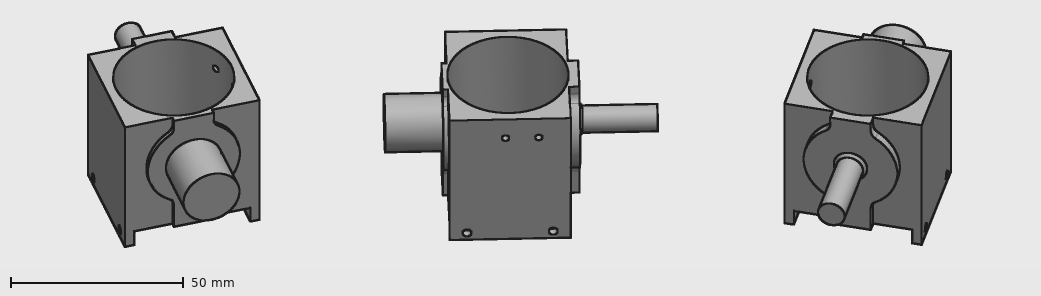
import cadquery as cq
import math

body_length = 35.1
body_width = 41.0
body_height = 44.5
top_z = 17.0
bottom_z = top_z - body_height
bore_diameter = body_length

leg_height = 5.1
leg_thickness = 2.85
block_bottom_z = bottom_z + leg_height

leg_hole_diameter = 2.5
leg_hole_spacing = 25.0
leg_hole_height = 2.5

pad_diameter = 28.0
pad_strip_width = 12.1
pad_blend_radius = 3.0
left_pad_thickness = 3.0
right_pad_thickness = 1.5

spindle_diameter = 8.0
spindle_length = 22.8
collar_diameter = 10.0
collar_length = (collar_diameter - spindle_diameter) / 2

boss_diameter = 17.0
total_length = 79.1
boss_length = (
    total_length - spindle_length - left_pad_thickness - body_length - right_pad_thickness
)

wall_hole_diameter = 2.05
wall_hole_depth_below_top = 6.95
wall_hole_positions = (-8.3, 1.35)

left_face_x = -body_length / 2
right_face_x = body_length / 2


def make_block():
    block = cq.Workplane("XY").box(
        body_length, body_width, body_height, centered=(True, True, False)
    ).translate((0, 0, bottom_z))
    channel = cq.Workplane("XY").box(
        body_length, body_width - 2 * leg_thickness, leg_height, centered=(True, True, False)
    ).translate((0, 0, bottom_z))
    return block.cut(channel)


def make_pad(start_x, thickness):
    """Pad growing in +X from start_x, with arcs tangent to the disc and the strip."""
    disc_radius = pad_diameter / 2
    strip_y = pad_strip_width / 2
    blend_y = strip_y + pad_blend_radius
    blend_z = math.sqrt((disc_radius + pad_blend_radius) ** 2 - blend_y ** 2)
    disc_share = disc_radius / (disc_radius + pad_blend_radius)
    touch_y = blend_y * disc_share
    touch_z = blend_z * disc_share
    middle_angle = (math.pi + math.atan2(blend_z, blend_y) + math.pi) / 2
    middle_y = blend_y + pad_blend_radius * math.cos(middle_angle)
    middle_z = blend_z + pad_blend_radius * math.sin(middle_angle)
    return (
        cq.Workplane("YZ", origin=(start_x, 0, 0))
        .moveTo(-strip_y, top_z)
        .lineTo(strip_y, top_z)
        .lineTo(strip_y, blend_z)
        .threePointArc((middle_y, middle_z), (touch_y, touch_z))
        .threePointArc((disc_radius, 0), (touch_y, -touch_z))
        .threePointArc((middle_y, -middle_z), (strip_y, -blend_z))
        .lineTo(strip_y, block_bottom_z)
        .lineTo(-strip_y, block_bottom_z)
        .lineTo(-strip_y, -blend_z)
        .threePointArc((-middle_y, -middle_z), (-touch_y, -touch_z))
        .threePointArc((-disc_radius, 0), (-touch_y, touch_z))
        .threePointArc((-middle_y, middle_z), (-strip_y, blend_z))
        .close()
        .extrude(thickness)
    )


def make_spindle():
    root_x = left_face_x - left_pad_thickness
    radius = spindle_diameter / 2
    return (
        cq.Workplane("XY")
        .moveTo(root_x, 0)
        .lineTo(root_x, collar_diameter / 2)
        .lineTo(root_x - collar_length, radius)
        .lineTo(root_x - spindle_length, radius)
        .lineTo(root_x - spindle_length, 0)
        .close()
        .revolve(360, (0, 0, 0), (1, 0, 0))
    )


def make_boss():
    start_x = right_face_x + right_pad_thickness
    return cq.Workplane("YZ", origin=(start_x, 0, 0)).circle(boss_diameter / 2).extrude(boss_length)


def make_bore():
    return (
        cq.Workplane("XY", origin=(0, 0, bottom_z))
        .circle(bore_diameter / 2)
        .extrude(body_height)
    )


def make_leg_holes():
    hole_z = bottom_z + leg_hole_height
    return (
        cq.Workplane("XZ")
        .pushPoints([(side * leg_hole_spacing / 2, hole_z) for side in (-1, 1)])
        .circle(leg_hole_diameter / 2)
        .extrude(body_width / 2, both=True)
    )


def make_wall_holes():
    hole_z = top_z - wall_hole_depth_below_top
    return (
        cq.Workplane("XZ")
        .pushPoints([(x, hole_z) for x in wall_hole_positions])
        .circle(wall_hole_diameter / 2)
        .extrude(-body_width / 2)
    )


result = (
    make_block()
    .union(make_pad(left_face_x - left_pad_thickness, left_pad_thickness))
    .union(make_pad(right_face_x, right_pad_thickness))
    .union(make_spindle())
    .union(make_boss())
    .cut(make_bore())
    .cut(make_leg_holes())
    .cut(make_wall_holes())
)